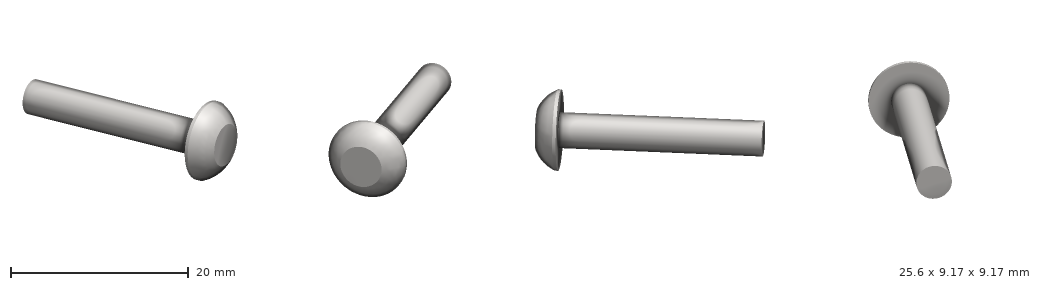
import cadquery as cq

overall_length = 25.58
shank_diameter = 4.04
head_diameter = 9.17
head_height = 2.58
rim_thickness = 0.4
crown_flat_diameter = 4.9
dome_bulge = 0.28

shank_length = overall_length - head_height
shank_radius = shank_diameter / 2
head_radius = head_diameter / 2
crown_flat_radius = crown_flat_diameter / 2
rim_end = shank_length + rim_thickness


def revolved_rivet():
    """Half profile of shank, rim and domed head, turned about the X axis."""
    profile = (
        cq.Workplane("XY")
        .moveTo(0, 0)
        .lineTo(0, shank_radius)
        .lineTo(shank_length, shank_radius)
        .lineTo(shank_length, head_radius)
        .lineTo(rim_end, head_radius)
        .sagittaArc((overall_length, crown_flat_radius), dome_bulge)
        .lineTo(overall_length, 0)
        .close()
    )
    return profile.revolve(360, (0, 0, 0), (1, 0, 0))


result = revolved_rivet()